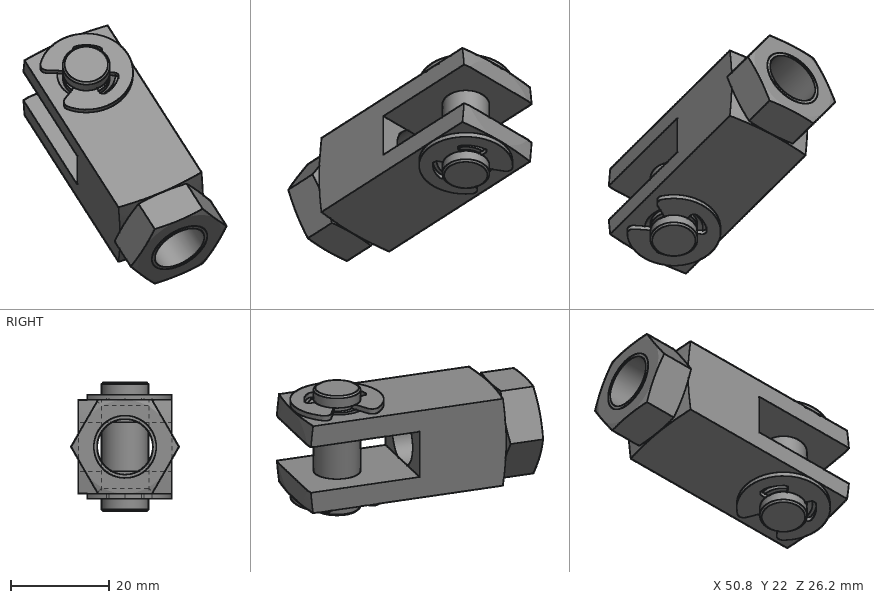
import cadquery as cq
import math

bar_width = 19.05
half_width = bar_width / 2
clevis_length = 42.8625
pin_setback = 9.65
clevis_start = -pin_setback
clevis_end = clevis_start + clevis_length
slot_height = 9.925
slot_depth = 23.95
slot_end = clevis_start + slot_depth
bore_diameter = 11.3
clevis_chamfer_angle = 10.0
barrel_clearance = 1.0

pin_diameter = 9.6
pin_length = 26.19
pin_chamfer = 0.4
groove_diameter = 7.7
countersink_diameter = 11.85
countersink_angle = 90.0

clip_diameter = 19.05
clip_thickness = 1.067
clip_opening_angle = 60.0
clip_tip_fillet = 1.3
relief_radius = 6.7
relief_angle = 60.0
relief_fillet = 0.9

nut_across_flats = bar_width
nut_across_corners = nut_across_flats / math.cos(math.radians(30))
nut_thickness = 7.9375
nut_lip_diameter = 12.7
nut_lip_height = 0.07
nut_chamfer_angle = 13.0


def x_cylinder(diameter, start, length):
    """Cylinder along X that begins at x = start."""
    return cq.Workplane("YZ", origin=(start, 0, 0)).circle(diameter / 2).extrude(length)


def chamfering_barrel(start, end, end_radius, corner_radius, chamfer_angle):
    """Round envelope along X whose conical ends trim the corners of a prism."""
    outer_radius = corner_radius + barrel_clearance
    setback = (outer_radius - end_radius) * math.tan(math.radians(chamfer_angle))
    return (
        cq.Workplane("XY")
        .moveTo(start, 0)
        .lineTo(start, end_radius)
        .lineTo(start + setback, outer_radius)
        .lineTo(end - setback, outer_radius)
        .lineTo(end, end_radius)
        .lineTo(end, 0)
        .close()
        .revolve(360, (0, 0, 0), (1, 0, 0))
    )


def z_disc(diameter, bottom, height):
    """Disc on the pin axis that begins at z = bottom."""
    return cq.Workplane("XY", origin=(0, 0, bottom)).circle(diameter / 2).extrude(height)


def make_clevis():
    bar = cq.Workplane("XY").box(clevis_length, bar_width, bar_width).translate(
        (clevis_start + clevis_length / 2, 0, 0)
    )
    corner_radius = half_width * math.sqrt(2)
    body = bar.intersect(
        chamfering_barrel(clevis_start, clevis_end, half_width, corner_radius, clevis_chamfer_angle)
    )

    slot = cq.Workplane("XY").box(slot_depth, bar_width, slot_height).translate(
        (clevis_start + slot_depth / 2, 0, 0)
    )
    body = body.cut(slot)
    body = body.cut(x_cylinder(bore_diameter, slot_end, clevis_end - slot_end))

    body = body.cut(z_disc(pin_diameter, -half_width, bar_width))
    countersink_depth = (countersink_diameter - pin_diameter) / 2 / math.tan(
        math.radians(countersink_angle / 2)
    )
    countersink = cq.Workplane("XY").add(
        cq.Solid.makeCone(
            pin_diameter / 2,
            countersink_diameter / 2,
            countersink_depth,
            pnt=cq.Vector(0, 0, half_width - countersink_depth),
        )
    )
    return body.cut(countersink).cut(countersink.mirror("XY"))


def make_pin():
    pin = z_disc(pin_diameter, -pin_length / 2, pin_length)
    pin = pin.faces("<Z or >Z").chamfer(pin_chamfer)
    groove = z_disc(pin_diameter, half_width, clip_thickness).cut(
        z_disc(groove_diameter, half_width, clip_thickness)
    )
    return pin.cut(groove).cut(groove.mirror("XY"))


def sector(radius, start_angle, sweep):
    """Pie-shaped cutter through the clip, measured counter-clockwise from +X."""
    def rim_point(angle):
        return (radius * math.cos(math.radians(angle)), radius * math.sin(math.radians(angle)))

    return (
        cq.Workplane("XY", origin=(0, 0, half_width))
        .moveTo(0, 0)
        .lineTo(*rim_point(start_angle))
        .threePointArc(rim_point(start_angle + sweep / 2), rim_point(start_angle + sweep))
        .close()
        .extrude(clip_thickness)
    )


def make_upper_clip():
    clip = z_disc(clip_diameter, half_width, clip_thickness)

    clip = clip.cut(sector(clip_diameter, 270 - clip_opening_angle / 2, clip_opening_angle))
    half_opening = math.radians(clip_opening_angle / 2)
    tip_x = clip_diameter / 2 * math.sin(half_opening)
    tip_y = -clip_diameter / 2 * math.cos(half_opening)
    mid_height = half_width + clip_thickness / 2
    for x in (-tip_x, tip_x):
        tip_edge = cq.selectors.NearestToPointSelector((x, tip_y, mid_height))
        clip = clip.edges("|Z").edges(tip_edge).fillet(clip_tip_fillet)

    axis_edge = cq.selectors.NearestToPointSelector((0, 0, mid_height))
    rim_edges = cq.selectors.SubtractSelector(cq.selectors.StringSyntaxSelector("|Z"), axis_edge)
    for start_angle in (0, 180 - relief_angle):
        relief = sector(relief_radius, start_angle, relief_angle)
        clip = clip.cut(relief.edges(rim_edges).fillet(relief_fillet))

    return clip.cut(z_disc(groove_diameter, half_width, clip_thickness))


def make_nut():
    hexagon_start = clevis_end + nut_lip_height
    hexagon_end = clevis_end + nut_thickness - nut_lip_height
    body = (
        cq.Workplane("YZ", origin=(hexagon_start, 0, 0))
        .polygon(6, nut_across_corners)
        .extrude(hexagon_end - hexagon_start)
    )
    body = body.intersect(
        chamfering_barrel(
            hexagon_start, hexagon_end, nut_across_flats / 2, nut_across_corners / 2, nut_chamfer_angle
        )
    )
    body = body.union(x_cylinder(nut_lip_diameter, clevis_end, nut_thickness))
    return body.cut(x_cylinder(bore_diameter, clevis_end, nut_thickness))


clevis = make_clevis()
pin = make_pin()
upper_clip = make_upper_clip()
lower_clip = upper_clip.mirror("XY")
nut = make_nut()

result = cq.Compound.makeCompound(
    [clevis.val(), pin.val(), upper_clip.val(), lower_clip.val(), nut.val()]
)